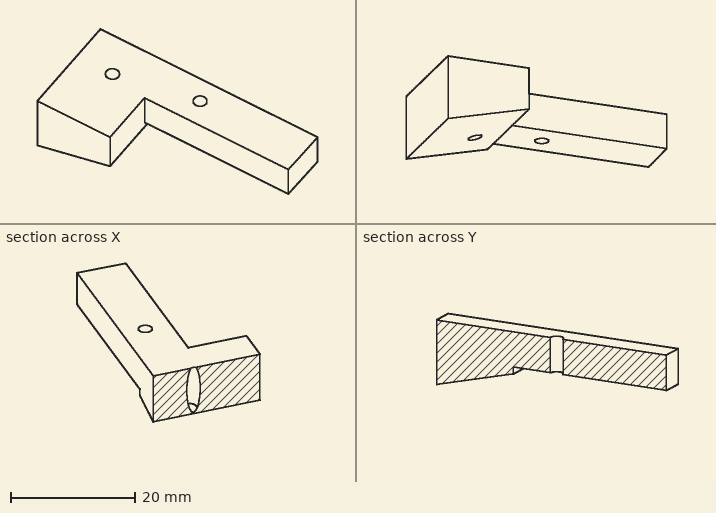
import cadquery as cq
import math

length = 41.85
depth = 18.42
arm_width = 8.37
arm_thickness = 6.0
arm_end_skew = 0.13

head_length = 14.03
head_height = 10.9
slope_angle = 15.0

hole_diameter = 2.2
arm_hole_center = (21.85, -4.0)
head_hole_center = (6.9, -6.95)


def make_head():
    short_height = head_height - head_length * math.tan(math.radians(slope_angle))
    profile = [(0, 0), (head_length, 0), (head_length, -short_height), (0, -head_height)]
    return cq.Workplane("XZ").polyline(profile).close().extrude(depth)


def make_arm():
    outline = [(0, 0), (length, 0), (length - arm_end_skew, -arm_width), (0, -arm_width)]
    return cq.Workplane("XY").polyline(outline).close().extrude(-arm_thickness)


def make_hole(center, tilt=0.0):
    """Cylinder through the part, crossing the top at center; tilt leans its lower end toward +X."""
    x, y = center
    lean = math.radians(tilt)
    axis = cq.Vector(math.sin(lean), 0, -math.cos(lean))
    middle = cq.Vector(x, y, 0)
    start = middle - axis * head_height
    return cq.Solid.makeCylinder(hole_diameter / 2, 2 * head_height, start, axis)


body = make_head().union(make_arm())
result = body.cut(make_hole(arm_hole_center)).cut(make_hole(head_hole_center, slope_angle))